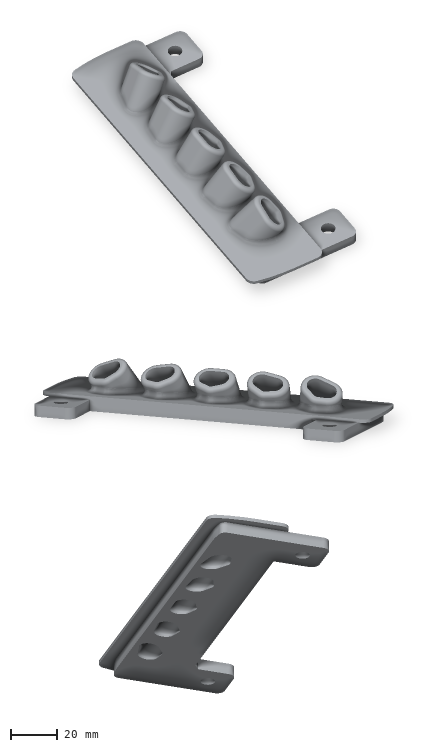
import cadquery as cq
import math

body_height = 5.1
plate_thickness = 1.5
plate_top = body_height + plate_thickness

plate_length = 154.0
plate_depth = 37.0
plate_front = -plate_depth / 2
plate_back = plate_depth / 2
plate_front_half_length = 74.4
plate_side_straight = 16.0
plate_corner_radius = 4.0

body_half_length = 72.7
body_front = plate_front + 5.5
body_corner_radius = 3.0
front_taper_angle = math.radians(10)
front_taper_length = 2.3
front_blend_radius = 22.2
tab_width = 19.1
tab_back = plate_back + 19.9
tab_corner_radius = 3.5
tab_hole_diameter = 6.3
tab_hole_inset = 9.9
gusset_width = 3.1
gusset_depth = 2.2

outermost_socket = 2
socket_pitch = 23.5
socket_tilt = 35.0
socket_fan_step = 10.0
socket_foot = plate_front + 10.5
socket_length = 17.1
socket_side_radius = 6.5
socket_roof_angle = math.radians(22)
socket_peak_radius = 4.5
socket_rim_radius = 1.7
socket_foot_radius = 1.8
front_flat = 6.2
front_wall = 2.6
bore_side_radius = 3.8
bore_roof_angle = math.radians(22)
bore_peak_radius = 2.0

prism_depth = 18.5

selection_margin = 0.02
selection_inset = 1.5


def mirror_across_middle(half):
    """Join one half of a shape with its mirror image across X = 0."""
    return half.union(half.mirror("YZ"))


def make_plate():
    half = (
        cq.Workplane("XY", origin=(0, 0, body_height))
        .moveTo(0, plate_back)
        .lineTo(-plate_length / 2, plate_back)
        .lineTo(-plate_length / 2, plate_back - plate_side_straight)
        .tangentArcPoint((-plate_front_half_length, plate_front), relative=False)
        .lineTo(0, plate_front)
        .close()
        .extrude(plate_thickness)
    )
    return mirror_across_middle(half).edges("|Z").edges("<Y or >Y").fillet(plate_corner_radius)


def make_body():
    """Slab whose front edge tapers back near both ends before it rounds into the sides."""
    blend_rise = front_blend_radius * (1 - math.cos(front_taper_angle))
    taper_slope = math.tan(front_taper_angle)
    corner_run = body_corner_radius * (1 - math.sin(front_taper_angle))
    taper_end_x = body_half_length - corner_run - front_taper_length
    taper_end_y = body_front + blend_rise
    flat_end_x = taper_end_x - front_blend_radius * math.sin(front_taper_angle)
    corner_y = taper_end_y + (front_taper_length + corner_run) * taper_slope
    half = (
        cq.Workplane("XY")
        .moveTo(0, plate_back)
        .lineTo(0, body_front)
        .lineTo(-flat_end_x, body_front)
        .tangentArcPoint((-taper_end_x, taper_end_y), relative=False)
        .lineTo(-body_half_length, corner_y)
        .lineTo(-body_half_length, plate_back)
        .close()
        .extrude(body_height)
        .edges("|Z and <X")
        .edges("<Y")
        .fillet(body_corner_radius)
    )
    return mirror_across_middle(half)


def make_tab(side):
    """Mounting tab that runs from the middle of the body to behind the plate."""
    center_x = side * (body_half_length - tab_width / 2)
    hole = (
        cq.Workplane("XY")
        .center(center_x, tab_back - tab_hole_inset)
        .circle(tab_hole_diameter / 2)
        .extrude(body_height)
    )
    return (
        cq.Workplane("XY")
        .center(center_x, tab_back / 2)
        .rect(tab_width, tab_back)
        .extrude(body_height)
        .edges("|Z and >Y")
        .fillet(tab_corner_radius)
        .cut(hole)
    )


def make_gusset():
    """Small corner brace between the left tab and the back of the body."""
    inner_x = tab_width - body_half_length
    return (
        cq.Workplane("XY")
        .polyline([
            (inner_x, plate_back),
            (inner_x + gusset_width, plate_back),
            (inner_x, plate_back + gusset_depth),
        ])
        .close()
        .extrude(body_height)
    )


def make_profile_prism(front, side_radius, roof_angle, peak_radius, top):
    """Five-sided prism along Z, with its front flat at Y = front and its roof peak on +Y."""
    half_flat = front_flat / 2
    center_y = front + side_radius
    roof_x = half_flat + side_radius * math.sin(roof_angle)
    roof_y = center_y + side_radius * math.cos(roof_angle)
    peak_y = roof_y + roof_x * math.tan(roof_angle)
    side_x = half_flat + side_radius
    return (
        cq.Workplane("XY", origin=(0, 0, -prism_depth))
        .moveTo(-half_flat, front)
        .lineTo(half_flat, front)
        .threePointArc((side_x, center_y), (roof_x, roof_y))
        .lineTo(0, peak_y)
        .lineTo(-roof_x, roof_y)
        .threePointArc((-side_x, center_y), (-half_flat, front))
        .close()
        .extrude(prism_depth + top)
        .edges("|Z and >Y")
        .fillet(peak_radius)
    )


def place_socket(prism, index):
    """Tilt a prism back, lean it sideways and move it to its place in the row."""
    return (
        prism
        .rotate((0, 0, 0), (1, 0, 0), -socket_tilt)
        .rotate((0, 0, 0), (0, 1, 0), index * socket_fan_step)
        .translate((index * socket_pitch, socket_foot, plate_top))
    )


def make_plate_with_sockets():
    """Plate with solid sockets, filleted at the foot; one half of the row mirrors the other."""
    prism = make_profile_prism(0, socket_side_radius, socket_roof_angle, socket_peak_radius, socket_length)
    prism = prism.faces(">Z").edges().fillet(socket_rim_radius)
    lower_half_space = (
        cq.Workplane("XY", origin=(0, 0, plate_top - 2 * prism_depth))
        .rect(2 * plate_length, 2 * plate_length)
        .extrude(2 * prism_depth)
    )
    foot_edges = cq.selectors.BoxSelector(
        (-body_half_length, body_front, plate_top - selection_margin),
        (body_half_length, plate_back - selection_inset, plate_top + selection_margin),
    )
    half_row = make_plate()
    for index in range(outermost_socket + 1):
        half_row = half_row.union(place_socket(prism, index).cut(lower_half_space))
    half_row = half_row.edges(foot_edges).fillet(socket_foot_radius)
    return mirror_across_middle(half_row)


def make_bores():
    """Bores that run through the sockets, the plate and the body."""
    bore_top = socket_length + socket_rim_radius
    prism = make_profile_prism(front_wall, bore_side_radius, bore_roof_angle, bore_peak_radius, bore_top)
    bores = place_socket(prism, 0)
    for index in range(1, outermost_socket + 1):
        bores = bores.add(place_socket(prism, index)).add(place_socket(prism, -index))
    return bores.combine()


result = make_plate_with_sockets()
result = result.union(make_body())
for side in (-1, 1):
    result = result.union(make_tab(side))
result = result.union(make_gusset())
result = result.cut(make_bores())